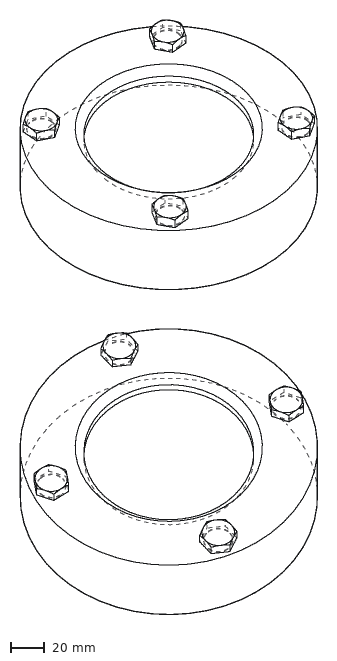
import cadquery as cq
import math

body_diameter = 175.0
body_height = 48.0

recess_diameter = 100.0
recess_depth = 10.0
lead_in = 5.0

bolt_count = 4
bolt_circle_diameter = 150.0
head_height = 7.5
head_across_flats = 19.0
head_across_corners = head_across_flats / math.cos(math.pi / 6)
crown_angle = 30.0

washer_face_diameter = 17.2
washer_face_height = 0.5


def make_body():
    body = cq.Workplane("XY").circle(body_diameter / 2).extrude(body_height)
    recess = (
        cq.Workplane("XY", origin=(0, 0, body_height - recess_depth))
        .circle(recess_diameter / 2)
        .extrude(recess_depth)
    )
    body = body.cut(recess)
    rim = body.faces(">Z").edges("%CIRCLE").edges(cq.selectors.RadiusNthSelector(0))
    return rim.chamfer(lead_in)


def make_bolt_head():
    """Bolt head standing on Z = 0, with two hexagon corners on the X axis."""
    hexagon = (
        cq.Workplane("XY", origin=(0, 0, washer_face_height))
        .polygon(6, head_across_corners)
        .extrude(head_height - washer_face_height)
    )
    corner_radius = head_across_corners / 2
    crown_radius = head_across_flats / 2
    crown_drop = (corner_radius - crown_radius) * math.tan(math.radians(crown_angle))
    blank = (
        cq.Workplane("XZ")
        .moveTo(0, 0)
        .lineTo(corner_radius, 0)
        .lineTo(corner_radius, head_height - crown_drop)
        .lineTo(crown_radius, head_height)
        .lineTo(0, head_height)
        .close()
        .revolve(360, (0, 0, 0), (0, 1, 0))
    )
    washer_face = cq.Workplane("XY").circle(washer_face_diameter / 2).extrude(washer_face_height)
    return hexagon.intersect(blank).union(washer_face)


result = make_body()

first_bolt_angle = 45.0
head_offset = bolt_circle_diameter / 2 * math.cos(math.radians(first_bolt_angle))
first_head = make_bolt_head().translate((head_offset, head_offset, body_height))
for index in range(bolt_count):
    turn = index * 360 / bolt_count
    result = result.union(first_head.rotate((0, 0, 0), (0, 0, 1), turn))